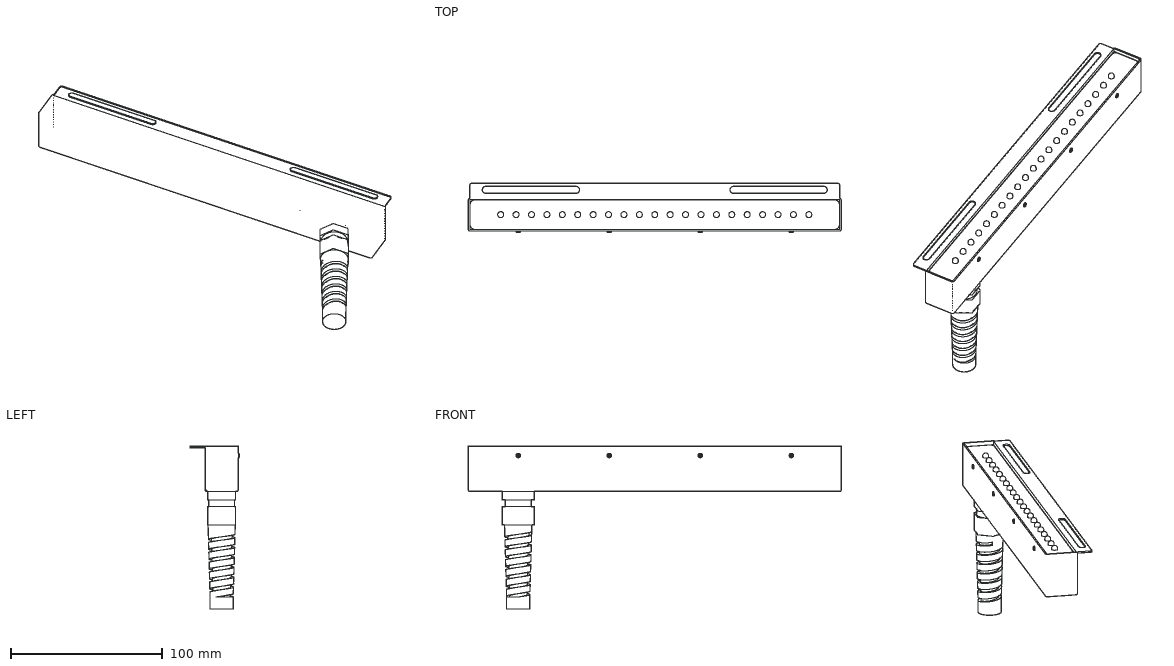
import cadquery as cq
import math

BOX_LENGTH = 246.0
BOX_WIDTH = 22.0
BOX_HEIGHT = 29.8
SHEET = 1.0
CORNER_RADIUS = 1.5
BOTTOM_EDGE_RADIUS = 1.0

FLANGE_REACH = 9.8
FLANGE_END_INSET = 1.0
FLANGE_CORNER_RADIUS = 1.5
SLOT_LENGTH = 64.0
SLOT_WIDTH = 4.5
SLOT_END_MARGIN = 9.3
SLOT_EDGE_MARGIN = 4.5

INSERT_DEPTH_BELOW_RIM = 2.5
INSERT_LIP = 0.2
DISH_DEPTH = 1.5
DISH_CORNER_RADIUS = 3.0
LED_DIAMETER = 4.0
LED_COUNT = 21
LED_ROW_LENGTH = 203.2
LED_STEM = 0.7

SCREW_COUNT = 4
SCREW_PITCH = 60.0
SCREW_HEAD_DIAMETER = 3.0
SCREW_HEAD_HEIGHT = 0.7
SCREW_HEAD_CHAMFER = 0.37
SOCKET_DIAMETER = 1.0
SOCKET_DEPTH = 0.5
SCREW_DROP = 6.2

HEX_ACROSS_FLATS = 18.5
HEX_CORNER_RADIUS = 0.5
FITTING_HEX_HEIGHT = 5.7
NECK_DIAMETER = 17.2
NECK_HEIGHT = 4.5
NUT_HEIGHT = 12.0
SLEEVE_HEIGHT = 55.5
SLEEVE_TOP_DIAMETER = 18.2
SLEEVE_BOTTOM_DIAMETER = 15.5
GROOVE_TURNS = 6.75
GROOVE_RISE = 44.0
GROOVE_WIDTH = 2.2
GROOVE_DEPTH = 2.0
GROOVE_TOP_MARGIN = 5.7
PLAIN_END_HEIGHT = 8.0

INNER_LENGTH = BOX_LENGTH - 2 * SHEET
INNER_WIDTH = BOX_WIDTH - 2 * SHEET
FIRST_SCREW_X = -SCREW_PITCH * (SCREW_COUNT - 1) / 2
GLAND_X = FIRST_SCREW_X
NECK_TOP = -FITTING_HEX_HEIGHT
NUT_TOP = NECK_TOP - NECK_HEIGHT
SLEEVE_TOP = NUT_TOP - NUT_HEIGHT
SLEEVE_BOTTOM = SLEEVE_TOP - SLEEVE_HEIGHT


def block(length, width, height, bottom):
    """Box centred on X and Y that stands on the level `bottom`."""
    return cq.Workplane("XY", origin=(0, 0, bottom)).box(length, width, height, centered=(True, True, False))


def make_flange():
    """Slotted strip that runs outward from the top of the +Y wall."""
    inner_y = BOX_WIDTH / 2 - SHEET
    outer_y = BOX_WIDTH / 2 + FLANGE_REACH
    length = BOX_LENGTH - 2 * FLANGE_END_INSET
    strip = (
        block(length, outer_y - inner_y, SHEET, BOX_HEIGHT - SHEET)
        .translate((0, (inner_y + outer_y) / 2, 0))
        .edges("|Z and >Y")
        .fillet(FLANGE_CORNER_RADIUS)
    )
    slot_x = BOX_LENGTH / 2 - SLOT_END_MARGIN - SLOT_LENGTH / 2
    slot_y = outer_y - SLOT_EDGE_MARGIN
    slots = (
        cq.Workplane("XY", origin=(0, 0, BOX_HEIGHT - SHEET))
        .pushPoints([(-slot_x, slot_y), (slot_x, slot_y)])
        .slot2D(SLOT_LENGTH, SLOT_WIDTH)
        .extrude(SHEET)
    )
    return strip.cut(slots)


def make_housing():
    """Box with rounded outer bends, an open top and the mounting flange."""
    shell = block(BOX_LENGTH, BOX_WIDTH, BOX_HEIGHT, 0).edges("|Z").fillet(CORNER_RADIUS)
    shell = shell.faces("<Z").edges().fillet(BOTTOM_EDGE_RADIUS)
    cavity = block(INNER_LENGTH, INNER_WIDTH, BOX_HEIGHT - SHEET, SHEET)
    return shell.cut(cavity).union(make_flange())


def make_insert():
    """Block that fills the cavity, with a dished top and a row of LED domes."""
    top = BOX_HEIGHT - INSERT_DEPTH_BELOW_RIM
    floor = top - DISH_DEPTH
    body = block(INNER_LENGTH, INNER_WIDTH, top - SHEET, SHEET)
    dish_height = 2 * DISH_DEPTH
    dish = (
        block(INNER_LENGTH - 2 * INSERT_LIP, INNER_WIDTH - 2 * INSERT_LIP, dish_height, floor)
        .edges("|Z")
        .fillet(DISH_CORNER_RADIUS)
        .faces("<Z")
        .edges()
        .fillet(DISH_DEPTH)
    )
    radius = LED_DIAMETER / 2
    led = (
        cq.Workplane("XY", origin=(0, 0, floor))
        .circle(radius)
        .extrude(LED_STEM)
        .union(cq.Workplane("XY", origin=(0, 0, floor + LED_STEM)).sphere(radius))
    )
    led_pitch = LED_ROW_LENGTH / (LED_COUNT - 1)
    insert = body.cut(dish)
    for index in range(LED_COUNT):
        x = index * led_pitch - LED_ROW_LENGTH / 2
        insert = insert.union(led.translate((x, 0, 0)))
    return insert


def make_screw(x):
    """Chamfered round screw head on the -Y wall, with a round socket in its face."""
    return (
        cq.Workplane("XZ", origin=(x, -BOX_WIDTH / 2, BOX_HEIGHT - SCREW_DROP))
        .circle(SCREW_HEAD_DIAMETER / 2)
        .extrude(SCREW_HEAD_HEIGHT)
        .faces("<Y")
        .chamfer(SCREW_HEAD_CHAMFER)
        .faces("<Y")
        .workplane()
        .hole(SOCKET_DIAMETER, SOCKET_DEPTH)
    )


def hexagon(top, height):
    """Hexagonal prism on the gland axis that hangs down from the level `top`."""
    across_corners = HEX_ACROSS_FLATS / math.cos(math.pi / 6)
    prism = cq.Workplane("XY", origin=(GLAND_X, 0, top)).polygon(6, across_corners).extrude(-height)
    return prism.edges("|Z").fillet(HEX_CORNER_RADIUS)


def make_gland_fitting():
    """Hexagon under the housing with a round neck below it."""
    neck = cq.Workplane("XY", origin=(GLAND_X, 0, NECK_TOP)).circle(NECK_DIAMETER / 2).extrude(-NECK_HEIGHT)
    return hexagon(0, FITTING_HEX_HEIGHT).union(neck)


def make_sleeve():
    """Tapered bend-protection sleeve with a right-hand spiral groove above its plain lower end."""
    top_radius = SLEEVE_TOP_DIAMETER / 2
    bottom_radius = SLEEVE_BOTTOM_DIAMETER / 2
    taper_height = SLEEVE_HEIGHT - PLAIN_END_HEIGHT
    plain_end = cq.Workplane("XY").circle(bottom_radius).extrude(PLAIN_END_HEIGHT)
    cone = cq.Workplane(
        cq.Solid.makeCone(bottom_radius, top_radius, taper_height, pnt=cq.Vector(0, 0, PLAIN_END_HEIGHT))
    )

    slope = (top_radius - bottom_radius) / taper_height
    start_height = SLEEVE_HEIGHT - GROOVE_TOP_MARGIN - GROOVE_RISE
    start_radius = bottom_radius + slope * (start_height - PLAIN_END_HEIGHT)
    taper_angle = math.degrees(math.atan(slope))
    helix = cq.Wire.makeHelix(GROOVE_RISE / GROOVE_TURNS, GROOVE_RISE, start_radius, angle=taper_angle)
    groove = (
        cq.Workplane("XZ", origin=(start_radius, 0, 0))
        .rect(2 * GROOVE_DEPTH, GROOVE_WIDTH)
        .sweep(cq.Workplane(helix), isFrenet=True)
        .rotate((0, 0, 0), (0, 0, 1), -360 * GROOVE_TURNS)
        .translate((0, 0, start_height))
    )
    return cone.cut(groove).union(plain_end).translate((GLAND_X, 0, SLEEVE_BOTTOM))


housing = make_housing()
insert = make_insert()
screws = [make_screw(FIRST_SCREW_X + index * SCREW_PITCH) for index in range(SCREW_COUNT)]
gland_fitting = make_gland_fitting()
gland_nut = hexagon(NUT_TOP, NUT_HEIGHT)
sleeve = make_sleeve()

result = cq.Compound.makeCompound([
    housing.val(),
    insert.val(),
    *[screw.val() for screw in screws],
    gland_fitting.val(),
    gland_nut.val(),
    sleeve.val(),
])